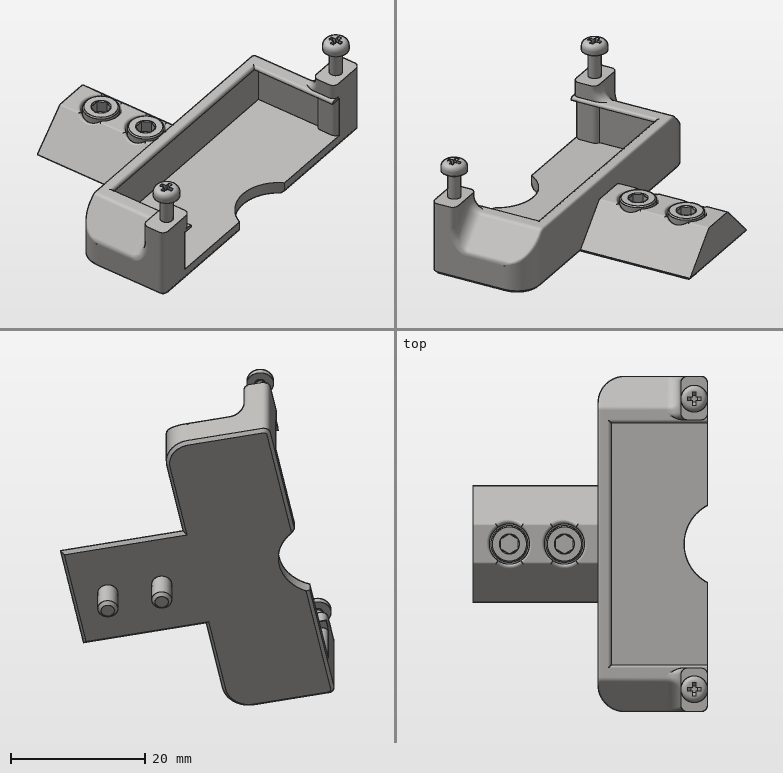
import cadquery as cq
import math

TRAY_LEFT = 18.65
TRAY_RIGHT = 35.0
TRAY_HALF_WIDTH = 25.0
WALL_TOP = 9.5
CREST_Y = 20.35
SHOULDER_Z = WALL_TOP - (TRAY_HALF_WIDTH - CREST_Y)
REAR_CORNER_RADIUS = 4.0
EDGE_RADIUS = 1.0
BOTTOM_CHAMFER = 0.5
RIM_RADIUS = 0.4

FLOOR_Z = 2.0
LIP_BOTTOM = 9.0
WALL_THICKNESS = 1.5
LIP_OVERHANG = 0.5
LIP_RADIUS = 0.5
LIP_X = TRAY_LEFT + WALL_THICKNESS + LIP_OVERHANG
LIP_HALF_WIDTH = 18.0
POCKET_HALF_WIDTH = 19.75
COLUMN_INNER_Y = 19.15

LUG_TOP = 12.0
LUG_LENGTH = 4.0
LUG_LEFT = TRAY_RIGHT - LUG_LENGTH
LUG_INNER_Y = LIP_HALF_WIDTH + LIP_RADIUS
LUG_FOOT_RADIUS = 2.0

NOTCH_RADIUS = 6.5
NOTCH_DEPTH = 3.5

ARM_HALF_WIDTH = 8.7
ARM_TOP = 6.35
ARM_TOE_HEIGHT = 0.55
ARM_TOP_HALF_WIDTH = ARM_HALF_WIDTH - (ARM_TOP - ARM_TOE_HEIGHT)
ARM_EDGE_RADIUS = 0.4

CLAMP_X = (5.45, 13.65)
CLAMP_HEAD_DIAMETER = 5.5
CLAMP_HEAD_TOP = 6.55
CLAMP_HEAD_HEIGHT = 3.0
CLAMP_HEAD_CHAMFER = 0.2
CLAMP_SEAT = CLAMP_HEAD_TOP - CLAMP_HEAD_HEIGHT
CLAMP_SHANK_DIAMETER = 3.0
CLAMP_BOTTOM = -4.45
CLAMP_TIP_CHAMFER = 0.5
CLAMP_RECESS_DIAMETER = 6.0
CLAMP_MOUTH_RADIUS = 0.4
HEX_ACROSS_FLATS = 2.6
HEX_DEPTH = 2.0
HEX_MOUTH_DIAMETER = 3.0

LID_X = 33.0
LID_Y = 21.65
LID_HEAD_DIAMETER = 4.0
LID_HEAD_TOP = 17.9
LID_HEAD_HEIGHT = 1.5
LID_HEAD_RADIUS = 0.9
LID_NECK_DIAMETER = 1.6
LID_NECK_HEIGHT = 0.5
LID_SHANK_DIAMETER = 2.0
LID_SHANK_CHAMFER = 0.1
LID_BOTTOM = 6.0
CROSS_LENGTH = 2.05
CROSS_FLOOR_LENGTH = 1.0
CROSS_WIDTH = 0.55
CROSS_DEPTH = 0.9

SIDES = (1, -1)
CLEARANCE = 0.5


def box(x_min, x_max, y_min, y_max, z_min, z_max):
    """Axis-aligned block given by its limits."""
    size = (x_max - x_min, y_max - y_min, z_max - z_min)
    return cq.Workplane("XY").box(*size, centered=False).translate((x_min, y_min, z_min))


def post(diameter, x, y, z_min, z_max):
    """Upright cylinder."""
    return cq.Workplane("XY", origin=(x, y, z_min)).circle(diameter / 2).extrude(z_max - z_min)


def edges_at(body, *points):
    """Select the edge of the body nearest to each point."""
    targets = [cq.Vertex.makeVertex(*point) for point in points]
    edges = body.edges().vals()
    return body.newObject([min(edges, key=target.distance) for target in targets])


def make_block():
    """Block with 45 degree end slopes and a lug on each end, hollowed from the top and +X."""
    profile = [
        (-TRAY_HALF_WIDTH, 0),
        (TRAY_HALF_WIDTH, 0),
        (TRAY_HALF_WIDTH, SHOULDER_Z),
        (CREST_Y, WALL_TOP),
        (-CREST_Y, WALL_TOP),
        (-TRAY_HALF_WIDTH, SHOULDER_Z),
    ]
    block = (
        cq.Workplane("YZ", origin=(TRAY_LEFT, 0, 0))
        .polyline(profile).close().extrude(TRAY_RIGHT - TRAY_LEFT)
    )
    block = block.union(
        box(LUG_LEFT, TRAY_RIGHT, -TRAY_HALF_WIDTH, TRAY_HALF_WIDTH, 0, LUG_TOP)
    )
    return block.cut(box(
        TRAY_LEFT + WALL_THICKNESS, TRAY_RIGHT + CLEARANCE,
        -LUG_INNER_Y, LUG_INNER_Y, FLOOR_Z, LUG_TOP + CLEARANCE,
    ))


def make_column(side):
    """Lug column standing in the pocket below the lip."""
    y_min, y_max = sorted((side * COLUMN_INNER_Y, side * TRAY_HALF_WIDTH))
    column = box(LUG_LEFT, TRAY_RIGHT, y_min, y_max, FLOOR_Z, LIP_BOTTOM)
    z_middle = (FLOOR_Z + LIP_BOTTOM) / 2
    y = side * COLUMN_INNER_Y
    return edges_at(column, (LUG_LEFT, y, z_middle), (TRAY_RIGHT, y, z_middle)).fillet(EDGE_RADIUS)


def make_pocket():
    """Undercut space below the lip, narrowed by the lug columns."""
    pocket = box(
        TRAY_LEFT + WALL_THICKNESS, TRAY_RIGHT + CLEARANCE,
        -POCKET_HALF_WIDTH, POCKET_HALF_WIDTH, FLOOR_Z, LIP_BOTTOM,
    )
    for side in SIDES:
        pocket = pocket.cut(make_column(side))
    return pocket


def make_lip():
    """Ledge over the pocket whose inner edge is a quarter round as high as the ledge."""
    blank = box(
        TRAY_LEFT + WALL_THICKNESS / 2, TRAY_RIGHT,
        -POCKET_HALF_WIDTH, POCKET_HALF_WIDTH, FLOOR_Z, WALL_TOP,
    )
    blank = blank.cut(box(LIP_X, TRAY_RIGHT, -LIP_HALF_WIDTH, LIP_HALF_WIDTH, FLOOR_Z, WALL_TOP))
    x_middle = (LIP_X + TRAY_RIGHT) / 2
    inner_edges = [(LIP_X, 0, WALL_TOP)]
    inner_edges += [(x_middle, side * LIP_HALF_WIDTH, WALL_TOP) for side in SIDES]
    blank = edges_at(blank, *inner_edges).fillet(LIP_RADIUS)
    return blank.intersect(
        box(TRAY_LEFT, TRAY_RIGHT, -POCKET_HALF_WIDTH, POCKET_HALF_WIDTH, LIP_BOTTOM, WALL_TOP)
    )


def round_outside(body):
    """Round the crests, lug feet, end edges, rear corners and rear rim."""
    x_middle = (TRAY_LEFT + LUG_LEFT) / 2
    z_lug = (WALL_TOP + LUG_TOP) / 2
    foot_y = (CREST_Y + TRAY_HALF_WIDTH) / 2
    foot_z = (WALL_TOP + SHOULDER_Z) / 2
    body = edges_at(body, *[(x_middle, s * CREST_Y, WALL_TOP) for s in SIDES]).fillet(EDGE_RADIUS)
    body = edges_at(body, *[(LUG_LEFT, s * foot_y, foot_z) for s in SIDES]).fillet(LUG_FOOT_RADIUS)
    body = edges_at(body, *[(LUG_LEFT, s * TRAY_HALF_WIDTH, z_lug) for s in SIDES]).fillet(EDGE_RADIUS)
    body = edges_at(body, *[(LUG_LEFT, s * LUG_INNER_Y, LUG_TOP - 0.25) for s in SIDES]).fillet(EDGE_RADIUS)
    body = edges_at(body, *[(TRAY_RIGHT, s * LUG_INNER_Y, z_lug) for s in SIDES]).fillet(EDGE_RADIUS)
    envelope = box(TRAY_LEFT, TRAY_RIGHT, -TRAY_HALF_WIDTH, TRAY_HALF_WIDTH, 0, LUG_TOP)
    envelope = envelope.edges("|Z and <X").fillet(REAR_CORNER_RADIUS)
    envelope = envelope.edges("|Z and >X").fillet(EDGE_RADIUS)
    body = body.intersect(envelope)
    return edges_at(body, (TRAY_LEFT, 0, WALL_TOP)).fillet(RIM_RADIUS)


def make_arm():
    """Dovetail bar along X with 45 degree flanks."""
    profile = [
        (-ARM_HALF_WIDTH, 0),
        (ARM_HALF_WIDTH, 0),
        (ARM_HALF_WIDTH, ARM_TOE_HEIGHT),
        (ARM_TOP_HALF_WIDTH, ARM_TOP),
        (-ARM_TOP_HALF_WIDTH, ARM_TOP),
        (-ARM_HALF_WIDTH, ARM_TOE_HEIGHT),
    ]
    arm = cq.Workplane("YZ").polyline(profile).close().extrude(TRAY_LEFT)
    return arm.edges("|X and >Z").fillet(ARM_EDGE_RADIUS)


def make_housing():
    """Tray, lugs and arm in one piece, with the screw holes and the notch."""
    body = round_outside(make_block())
    body = body.cut(make_pocket())
    body = body.union(make_lip())
    body = body.union(make_arm())
    body = body.faces("<Z").chamfer(BOTTOM_CHAMFER)

    notch_x = TRAY_RIGHT - NOTCH_DEPTH + NOTCH_RADIUS
    body = body.cut(post(2 * NOTCH_RADIUS, notch_x, 0, -CLEARANCE, FLOOR_Z + CLEARANCE))

    for x in CLAMP_X:
        body = body.cut(post(CLAMP_RECESS_DIAMETER, x, 0, CLAMP_SEAT, ARM_TOP + CLEARANCE))
        body = edges_at(body, (x - CLAMP_RECESS_DIAMETER / 2, 0, ARM_TOP)).fillet(CLAMP_MOUTH_RADIUS)
        body = body.cut(post(CLAMP_SHANK_DIAMETER, x, 0, -CLEARANCE, CLAMP_SEAT))
    for side in SIDES:
        body = body.cut(post(LID_SHANK_DIAMETER, LID_X, side * LID_Y, LID_BOTTOM, LUG_TOP + CLEARANCE))
    return body


def make_clamp_screw(x):
    """Cylinder-head screw with a hexagon socket."""
    head = post(CLAMP_HEAD_DIAMETER, x, 0, CLAMP_SEAT, CLAMP_HEAD_TOP)
    head = head.faces(">Z").chamfer(CLAMP_HEAD_CHAMFER)
    shank = post(CLAMP_SHANK_DIAMETER, x, 0, CLAMP_BOTTOM, CLAMP_SEAT)
    shank = shank.faces("<Z").chamfer(CLAMP_TIP_CHAMFER)

    corner_diameter = HEX_ACROSS_FLATS / math.cos(math.radians(30))
    socket = (
        cq.Workplane("XY", origin=(x, 0, CLAMP_HEAD_TOP - HEX_DEPTH))
        .transformed(rotate=(0, 0, 30))
        .polygon(6, corner_diameter).extrude(HEX_DEPTH)
    )
    mouth = cq.Workplane("XY").add(cq.Solid.makeCone(
        0, HEX_MOUTH_DIAMETER / 2, HEX_MOUTH_DIAMETER / 2,
        pnt=cq.Vector(x, 0, CLAMP_HEAD_TOP - HEX_MOUTH_DIAMETER / 2),
    ))
    return head.union(shank).cut(socket).cut(mouth)


def make_lid_screw(side):
    """Pan-head screw with a cross recess and a waist below the head."""
    y = side * LID_Y
    head_bottom = LID_HEAD_TOP - LID_HEAD_HEIGHT
    shank_top = head_bottom - LID_NECK_HEIGHT
    head = post(LID_HEAD_DIAMETER, LID_X, y, head_bottom, LID_HEAD_TOP)
    head = head.faces(">Z").edges().fillet(LID_HEAD_RADIUS)
    neck = post(LID_NECK_DIAMETER, LID_X, y, shank_top, head_bottom)
    shank = post(LID_SHANK_DIAMETER, LID_X, y, LID_BOTTOM, shank_top)
    shank = shank.faces(">Z").chamfer(LID_SHANK_CHAMFER)

    slot = (
        cq.Workplane("XZ")
        .polyline([
            (-CROSS_LENGTH / 2, 0),
            (CROSS_LENGTH / 2, 0),
            (CROSS_FLOOR_LENGTH / 2, -CROSS_DEPTH),
            (-CROSS_FLOOR_LENGTH / 2, -CROSS_DEPTH),
        ])
        .close().extrude(CROSS_WIDTH / 2, both=True)
    )
    cross = slot.union(slot.rotate((0, 0, 0), (0, 0, 1), 90)).translate((LID_X, y, LID_HEAD_TOP))
    return head.union(neck).union(shank).cut(cross)


housing = make_housing()
clamp_screws = [make_clamp_screw(x) for x in CLAMP_X]
lid_screws = [make_lid_screw(side) for side in SIDES]
result = cq.Compound.makeCompound(
    [housing.val()] + [screw.val() for screw in clamp_screws + lid_screws]
)